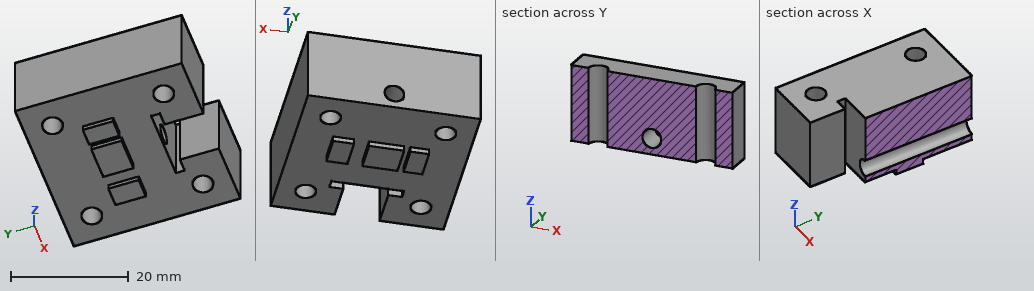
import cadquery as cq

side = 30.0
overall_height = 15.0
pad_height = 1.0
block_height = overall_height - pad_height

mount_hole_diameter = 3.5
mount_hole_spacing = 2 * side / 3

neck_width = 7.8
neck_depth = 7.0
head_width = 12.6
head_depth = 1.55

cross_hole_diameter = 3.4
cross_hole_rise = 3.0

pad_spans = [(-8.13, -4.9), (-3.8, 2.28), (4.9, 8.52)]
pad_front = -0.25
pad_back = 5.22

front_face = -side / 2


def make_block():
    return (
        cq.Workplane("XY", origin=(0, 0, pad_height))
        .rect(side, side)
        .extrude(block_height)
    )


def make_mount_holes():
    return (
        cq.Workplane("XY", origin=(0, 0, pad_height))
        .rect(mount_hole_spacing, mount_hole_spacing, forConstruction=True)
        .vertices()
        .circle(mount_hole_diameter / 2)
        .extrude(block_height)
    )


def make_slot():
    """T-slot: a narrow neck at the front opening into a wider head."""
    neck_end = front_face + neck_depth
    head_end = neck_end + head_depth
    half_outline = [
        (0, front_face),
        (neck_width / 2, front_face),
        (neck_width / 2, neck_end),
        (head_width / 2, neck_end),
        (head_width / 2, head_end),
        (0, head_end),
    ]
    return (
        cq.Workplane("XY", origin=(0, 0, pad_height))
        .polyline(half_outline)
        .mirrorY()
        .extrude(block_height)
    )


def make_cross_hole():
    return (
        cq.Workplane("XZ", origin=(0, side / 2, pad_height + cross_hole_rise))
        .circle(cross_hole_diameter / 2)
        .extrude(side)
    )


def make_pad(left, right):
    return (
        cq.Workplane("XY")
        .center((left + right) / 2, (pad_front + pad_back) / 2)
        .rect(right - left, pad_back - pad_front)
        .extrude(pad_height)
    )


result = make_block().cut(make_mount_holes()).cut(make_slot()).cut(make_cross_hole())
for left, right in pad_spans:
    result = result.union(make_pad(left, right))